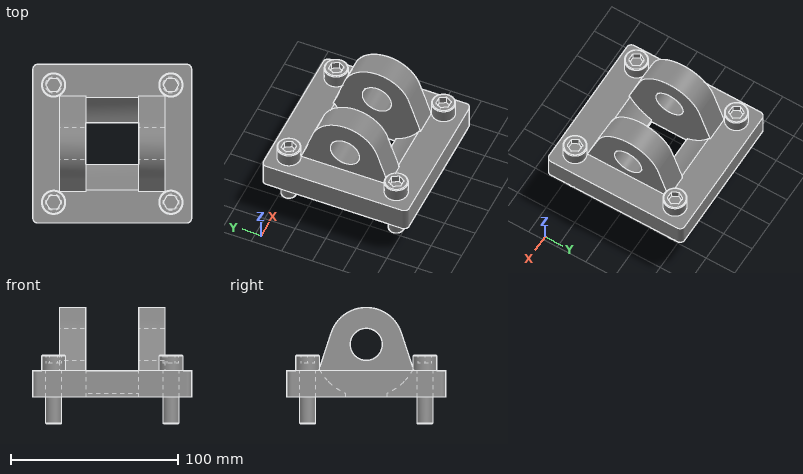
import cadquery as cq
import math

plate_side = 95.25
plate_height = 15.9
plate_corner_radius = 3.2

lug_span = 63.2
lug_gap = 31.4
lug_thickness = (lug_span - lug_gap) / 2
lug_foot_half_width = 28.6
lug_top_radius = 22.2
pin_axis_height = 31.6
pin_hole_diameter = 19.05

trough_radius = 31.8
window_length = 25.0

screw_pitch = 70.2
head_diameter = 14.5
head_height = 9.2
shank_diameter = 9.7
shank_projection = 16.0
socket_across_flats = 8.0
socket_depth = 4.8
screw_edge_chamfer = 0.6

screw_centres = [
    (x_side * screw_pitch / 2, y_side * screw_pitch / 2)
    for x_side in (-1, 1)
    for y_side in (-1, 1)
]


def make_lug(start_x):
    """One lug: straight flanks from the plate, tangent to a round top, with a pin hole."""
    foot_drop = pin_axis_height - plate_height
    foot_distance = math.hypot(lug_foot_half_width, foot_drop)
    tangent_angle = math.acos(lug_top_radius / foot_distance) - math.atan2(foot_drop, lug_foot_half_width)
    tangent_y = lug_top_radius * math.cos(tangent_angle)
    tangent_z = pin_axis_height + lug_top_radius * math.sin(tangent_angle)
    lug = (
        cq.Workplane("YZ", origin=(start_x, 0, 0))
        .moveTo(-lug_foot_half_width, plate_height)
        .lineTo(lug_foot_half_width, plate_height)
        .lineTo(tangent_y, tangent_z)
        .threePointArc((0, pin_axis_height + lug_top_radius), (-tangent_y, tangent_z))
        .close()
        .extrude(lug_thickness)
    )
    pin_hole = (
        cq.Workplane("YZ", origin=(start_x, 0, pin_axis_height))
        .circle(pin_hole_diameter / 2)
        .extrude(lug_thickness)
    )
    return lug.cut(pin_hole)


def make_relief():
    """Volume removed from the plate between the lugs."""
    trough = (
        cq.Workplane("YZ", origin=(-lug_gap / 2, 0, pin_axis_height))
        .circle(trough_radius)
        .extrude(lug_gap)
    )
    window = cq.Workplane("XY").rect(lug_gap, window_length).extrude(plate_height)
    return trough.union(window)


def make_clevis():
    """Plate with two lugs, the relief between them and four holes that fit the screw shanks."""
    clevis = (
        cq.Workplane("XY")
        .rect(plate_side, plate_side)
        .extrude(plate_height)
        .edges("|Z")
        .fillet(plate_corner_radius)
    )
    for start_x in (-lug_span / 2, lug_gap / 2):
        clevis = clevis.union(make_lug(start_x))
    screw_holes = (
        cq.Workplane("XY")
        .pushPoints(screw_centres)
        .circle(shank_diameter / 2)
        .extrude(plate_height)
    )
    return clevis.cut(make_relief()).cut(screw_holes)


def make_screw(centre_x, centre_y):
    """Socket head screw whose head rests on the plate."""
    head_top = plate_height + head_height
    shank = (
        cq.Workplane("XY", origin=(centre_x, centre_y, -shank_projection))
        .circle(shank_diameter / 2)
        .extrude(shank_projection + plate_height)
        .faces("<Z")
        .chamfer(screw_edge_chamfer)
    )
    head = (
        cq.Workplane("XY", origin=(centre_x, centre_y, plate_height))
        .circle(head_diameter / 2)
        .extrude(head_height)
        .faces(">Z")
        .chamfer(screw_edge_chamfer)
    )
    socket_across_corners = socket_across_flats / math.cos(math.pi / 6)
    socket = (
        cq.Workplane("XY", origin=(centre_x, centre_y, head_top - socket_depth))
        .polygon(6, socket_across_corners)
        .extrude(socket_depth)
    )
    return shank.union(head).cut(socket)


clevis = make_clevis()
screws = [make_screw(centre_x, centre_y) for centre_x, centre_y in screw_centres]

result = cq.Compound.makeCompound([clevis.val(), *[screw.val() for screw in screws]])